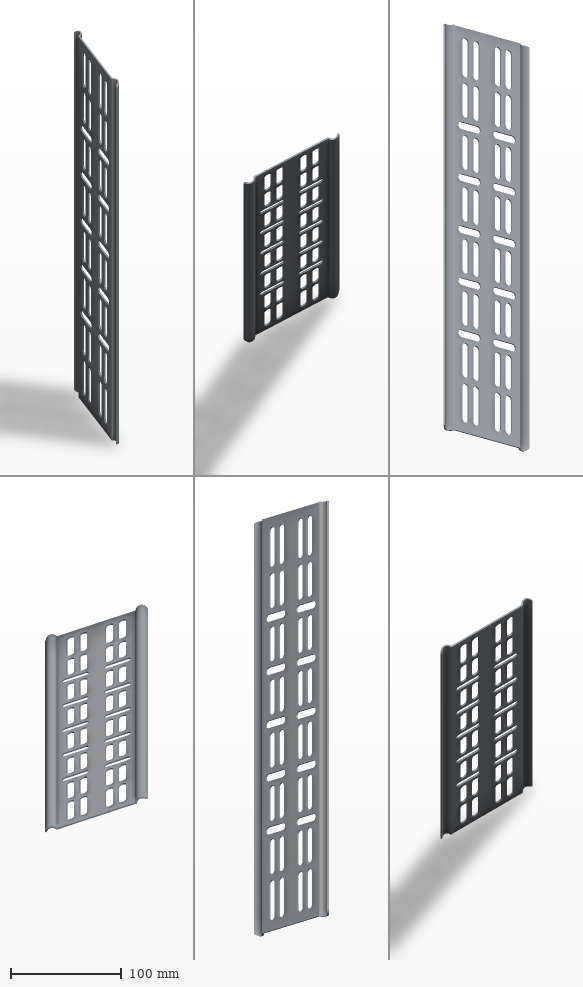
import cadquery as cq
import math

length = 390.0
width = 99.5
height = 5.0
cutter_depth = 4 * height
sheet = 1.45

bead_outer_radius = 6.0
bend_inner_radius = 0.5
lip_angle = math.radians(45)
corner_radius = 5.0
web_setback = 0.5

slot_width = 7.0
long_slot_length = 37.5
short_slot_length = 33.0
cross_slot_length = 25.7
end_row_z = 166.0
column_positions = (12.5, 25.0)
cross_slot_x = 20.3
cross_slot_rows = 5
short_slot_rows = cross_slot_rows + 1
cross_rows_span = 200.0
pitch = cross_rows_span / (cross_slot_rows - 1)

bead_inner_radius = bead_outer_radius - sheet
bend_outer_radius = bend_inner_radius + sheet
bead_center_y = height - bead_outer_radius

lip_length = (bead_center_y + bead_inner_radius * math.cos(lip_angle)) / math.sin(lip_angle)
lip_run = lip_length * math.cos(lip_angle)
bead_center_x = width / 2 - bead_outer_radius * math.sin(lip_angle) - lip_run

bend_angle = math.acos((bend_outer_radius - bead_center_y) / (bead_inner_radius + bend_outer_radius))
bend_center_x = bead_center_x - (bead_inner_radius + bend_outer_radius) * math.sin(bend_angle)


def bead_point(radius, angle):
    """Point on a bead arc; the angle is measured from the crest, positive towards the lip."""
    return (
        bead_center_x + radius * math.sin(angle),
        bead_center_y + radius * math.cos(angle),
    )


def bend_point(radius, angle):
    """Point on a bend arc; the angle is measured from the web towards the bead."""
    return (
        bend_center_x + radius * math.sin(angle),
        bend_outer_radius - radius * math.cos(angle),
    )


def lip_end(radius):
    """End of the straight lip that leaves the bead arc of the given radius tangentially."""
    arc_x, arc_y = bead_point(radius, lip_angle)
    return (arc_x + lip_run, arc_y - lip_length * math.sin(lip_angle))


def make_half_sheet():
    """Right half of the formed sheet, from the middle plane to the lip."""
    arc_middle = (lip_angle - bend_angle) / 2
    return (
        cq.Workplane("XY")
        .workplane(offset=-length / 2)
        .moveTo(0, 0)
        .lineTo(bend_center_x, 0)
        .threePointArc(bend_point(bend_outer_radius, bend_angle / 2), bend_point(bend_outer_radius, bend_angle))
        .threePointArc(bead_point(bead_inner_radius, arc_middle), bead_point(bead_inner_radius, lip_angle))
        .lineTo(*lip_end(bead_inner_radius))
        .lineTo(*lip_end(bead_outer_radius))
        .lineTo(*bead_point(bead_outer_radius, lip_angle))
        .threePointArc(bead_point(bead_outer_radius, arc_middle), bead_point(bead_outer_radius, -bend_angle))
        .threePointArc(bend_point(bend_inner_radius, bend_angle / 2), (bend_center_x, sheet))
        .lineTo(0, sheet)
        .close()
        .extrude(length)
    )


def make_rounded_blank():
    """Block with the sheet's outline, rounded at the four corners."""
    return cq.Workplane("XY").box(width, cutter_depth, length).edges("|Y").fillet(corner_radius)


def make_web_trim():
    """Cutter that sets the top end of the flat web back from the bead ends."""
    trim = cq.Workplane("XY").box(2 * bend_center_x, cutter_depth, 2 * web_setback)
    return trim.translate((0, 0, length / 2))


def make_slots(positions, slot_length, angle):
    """Round-ended cutters through the web at the given (x, z) positions."""
    return (
        cq.Workplane("XZ")
        .pushPoints(positions)
        .slot2D(slot_length, slot_width, angle)
        .extrude(cutter_depth / 2, both=True)
    )


def centered_rows(count):
    """Heights of evenly pitched rows centred on z = 0."""
    return [(row - (count - 1) / 2) * pitch for row in range(count)]


def grid(columns, rows):
    """All (x, z) positions, with every column mirrored about x = 0."""
    return [(side * x, z) for side in (-1, 1) for x in columns for z in rows]


half_sheet = make_half_sheet()
formed_sheet = half_sheet.union(half_sheet.mirror("YZ"))
top_trim = make_web_trim()
panel = formed_sheet.intersect(make_rounded_blank()).cut(top_trim).cut(top_trim.mirror("XY"))

end_slots = make_slots(grid(column_positions, (-end_row_z, end_row_z)), long_slot_length, 90)
short_slots = make_slots(grid(column_positions, centered_rows(short_slot_rows)), short_slot_length, 90)
cross_slots = make_slots(grid((cross_slot_x,), centered_rows(cross_slot_rows)), cross_slot_length, 0)

result = panel.cut(end_slots).cut(short_slots).cut(cross_slots)